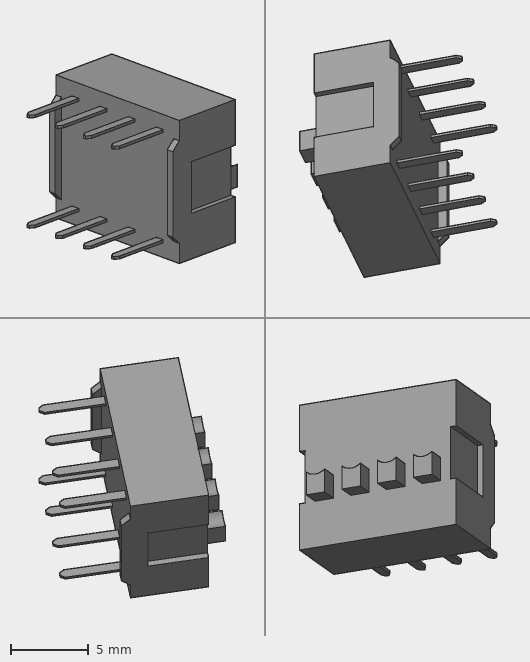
import cadquery as cq


body_width = 11.16
body_depth = 5.1
body_height = 9.9

position_count = 4
position_pitch = 2.55

pin_row_spacing = 7.62
pin_length = 4.3
pin_width = 0.61
pin_thickness = 0.2
pin_tip_length = 0.31
pin_tip_width = 0.2

rib_width = 0.5
rib_projection = 0.59
rib_length = 7.1

recess_depth = 0.39
recess_length = 3.97
recess_height = 3.57

knob_width = 1.31
knob_height = 1.57
knob_projection = 1.31
knob_dish_depth = 0.25

position_xs = [(i - (position_count - 1) / 2) * position_pitch for i in range(position_count)]
end_sides = (-1, 1)


def make_body():
    return cq.Workplane("XY").box(body_width, body_depth, body_height).translate((0, body_depth / 2, 0))


def make_recess(side):
    """Shallow pocket in one end face; side is -1 or 1 along X."""
    center_x = side * (body_width - recess_depth) / 2
    center_y = body_depth - recess_length / 2
    pocket = cq.Workplane("XY").box(recess_depth, recess_length, recess_height)
    return pocket.translate((center_x, center_y, 0))


def make_rib(side):
    """Standoff rib with 45 degree ends, flush with one end face."""
    half_length = rib_length / 2
    half_crest = half_length - rib_projection
    outline = [
        (0, -half_length),
        (-rib_projection, -half_crest),
        (-rib_projection, half_crest),
        (0, half_length),
    ]
    rib = cq.Workplane("YZ").polyline(outline).close().extrude(rib_width / 2, both=True)
    return rib.translate((side * (body_width - rib_width) / 2, 0, 0))


def make_pin(x, z):
    """Flat pin with a tapered, blunt tip."""
    half_width = pin_width / 2
    half_tip = pin_tip_width / 2
    shoulder_y = -(pin_length - pin_tip_length)
    outline = [
        (-half_width, 0),
        (-half_width, shoulder_y),
        (-half_tip, -pin_length),
        (half_tip, -pin_length),
        (half_width, shoulder_y),
        (half_width, 0),
    ]
    pin = cq.Workplane("XY").polyline(outline).close().extrude(pin_thickness / 2, both=True)
    return pin.translate((x, 0, z))


def make_knob(x):
    """Knob with a dished top, level at its bottom with the lower edge of the recesses."""
    half_width = knob_width / 2
    bottom_z = -recess_height / 2
    top_z = bottom_z + knob_height
    profile = (
        cq.Workplane("XZ")
        .moveTo(-half_width, bottom_z)
        .lineTo(half_width, bottom_z)
        .lineTo(half_width, top_z)
        .threePointArc((0, top_z - knob_dish_depth), (-half_width, top_z))
        .close()
    )
    return profile.extrude(-knob_projection).translate((x, body_depth, 0))


result = make_body()

for side in end_sides:
    result = result.cut(make_recess(side))
    result = result.union(make_rib(side))

for x in position_xs:
    result = result.union(make_knob(x))
    for row in (-1, 1):
        result = result.union(make_pin(x, row * pin_row_spacing / 2))